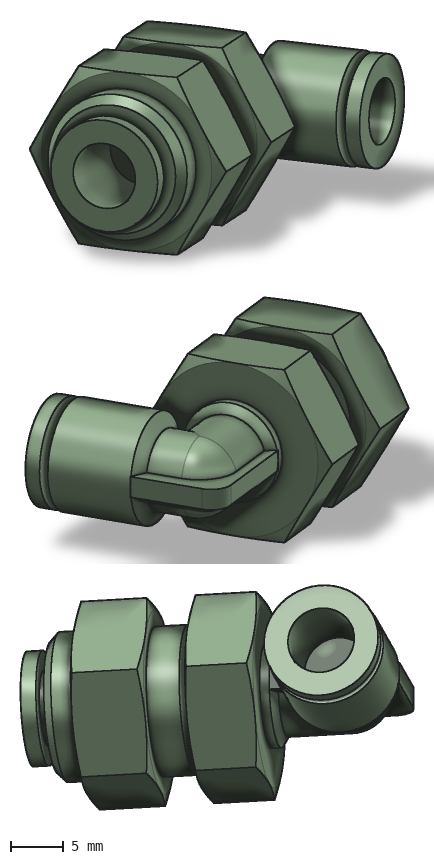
import cadquery as cq
import math


FLANGE_RADIUS = 5.47
FLANGE_LENGTH = 1.5
NECK_RADIUS = 3.6
NECK_LENGTH = 0.9
BORE_RADIUS = 3.2
BORE_DEPTH = 9.05

TUBE_RADIUS = 4.02
WEB_THICKNESS = 2.05
WEB_CORNER_RADIUS = 2.05

ARM_RADIUS = 5.55
ARM_CONE_START = 3.62
ARM_CONE_END = 4.53
ARM_END = 15.6

STEM_END = 30.7
COLLAR_RADIUS = 5.0
COLLAR_CONE_START = 6.2
COLLAR_CONE_END = 6.9

ACROSS_FLATS = 17.47
ACROSS_CORNERS = ACROSS_FLATS / math.cos(math.radians(30))
CORNER_BEVEL_ANGLE = 15.0
BODY_HEX_START = 7.8
BODY_HEX_LENGTH = 6.52
NUT_START = 18.3
NUT_LENGTH = 7.0

THREAD_RADIUS = 7.15
THREAD_CHAMFER = 0.85
THREAD_START = BODY_HEX_START + BODY_HEX_LENGTH
THREAD_END = STEM_END - FLANGE_LENGTH - NECK_LENGTH


def turned_along_x(outline):
    """Solid of revolution about X from (distance, radius) points, closed along the axis."""
    first_x = outline[0][0]
    last_x = outline[-1][0]
    points = [(first_x, 0), *outline, (last_x, 0)]
    return cq.Workplane("XY").polyline(points).close().revolve(360, (0, 0, 0), (1, 0, 0))


def along_stem(shape):
    """Turn a shape built along +X so that it runs along -Y."""
    return shape.rotate((0, 0, 0), (0, 0, 1), -90)


def port_outline(end):
    """Neck and flange of a tube port whose outer face is at the given distance."""
    flange_start = end - FLANGE_LENGTH
    return [
        (flange_start - NECK_LENGTH, NECK_RADIUS),
        (flange_start, NECK_RADIUS),
        (flange_start, FLANGE_RADIUS),
        (end, FLANGE_RADIUS),
    ]


def port_bore(end):
    """Blind tube hole opening at the given distance along X."""
    return turned_along_x([(end - BORE_DEPTH, BORE_RADIUS), (end, BORE_RADIUS)])


def bevelled_hexagon(start, length):
    """Hexagonal prism along -Y with its corners bevelled by a cone at both ends."""
    flat_radius = ACROSS_FLATS / 2
    corner_radius = ACROSS_CORNERS / 2
    bevel = (corner_radius - flat_radius) * math.tan(math.radians(CORNER_BEVEL_ANGLE))
    end = start + length
    prism = (
        cq.Workplane("XZ", origin=(0, -start, 0))
        .polygon(6, ACROSS_CORNERS)
        .extrude(length)
    )
    bevel_envelope = turned_along_x([
        (start, flat_radius),
        (start + bevel, corner_radius),
        (end - bevel, corner_radius),
        (end, flat_radius),
    ])
    return prism.intersect(along_stem(bevel_envelope))


def make_web():
    """Flat web filling the outside and inside corners of the elbow."""
    outline = [
        (-COLLAR_RADIUS, -COLLAR_CONE_END),
        (COLLAR_RADIUS, -COLLAR_CONE_END),
        (COLLAR_RADIUS, 0),
        (ARM_CONE_END, 0),
        (ARM_CONE_END, ARM_RADIUS),
        (-COLLAR_RADIUS, ARM_RADIUS),
    ]
    web = (
        cq.Workplane("XY", origin=(0, 0, -WEB_THICKNESS / 2))
        .polyline(outline)
        .close()
        .extrude(WEB_THICKNESS)
    )
    return web.edges("|Z").edges("<X").edges(">Y").fillet(WEB_CORNER_RADIUS)


def make_arm():
    """Tube, cone, sleeve and port along +X."""
    return turned_along_x([
        (0, TUBE_RADIUS),
        (ARM_CONE_START, TUBE_RADIUS),
        (ARM_CONE_END, ARM_RADIUS),
        (ARM_END - FLANGE_LENGTH - NECK_LENGTH, ARM_RADIUS),
        *port_outline(ARM_END),
    ])


def make_stem():
    """Tube, collar, chamfered thread and port along -Y."""
    thread_end_radius = THREAD_RADIUS - THREAD_CHAMFER
    return along_stem(turned_along_x([
        (0, TUBE_RADIUS),
        (COLLAR_CONE_START, TUBE_RADIUS),
        (COLLAR_CONE_END, COLLAR_RADIUS),
        (THREAD_START, COLLAR_RADIUS),
        (THREAD_START, thread_end_radius),
        (THREAD_START + THREAD_CHAMFER, THREAD_RADIUS),
        (THREAD_END - THREAD_CHAMFER, THREAD_RADIUS),
        (THREAD_END, thread_end_radius),
        *port_outline(STEM_END),
    ]))


def make_elbow():
    """Fitting body: arm, stem, round corner, web and fixed hexagon, bored at both ports."""
    return (
        make_arm()
        .union(make_stem())
        .union(cq.Workplane("XY").sphere(TUBE_RADIUS))
        .union(make_web())
        .union(bevelled_hexagon(BODY_HEX_START, BODY_HEX_LENGTH))
        .cut(port_bore(ARM_END))
        .cut(along_stem(port_bore(STEM_END)))
    )


def make_nut():
    """Hex nut bored to the thread diameter."""
    thread_hole = turned_along_x([
        (NUT_START, THREAD_RADIUS),
        (NUT_START + NUT_LENGTH, THREAD_RADIUS),
    ])
    return bevelled_hexagon(NUT_START, NUT_LENGTH).cut(along_stem(thread_hole))


elbow = make_elbow()
nut = make_nut()

result = cq.Compound.makeCompound([elbow.solids().val(), nut.solids().val()])